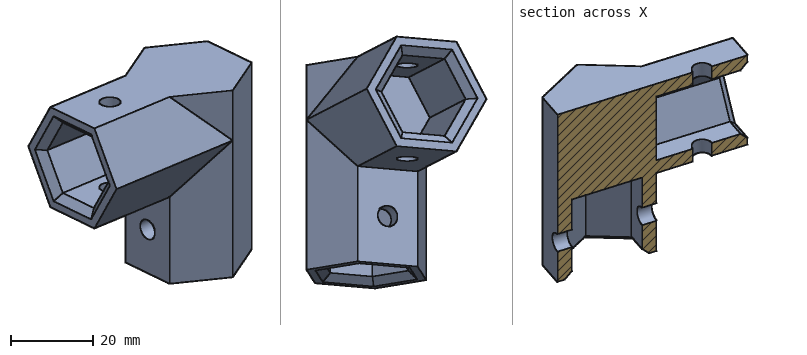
import cadquery as cq
import math

length_y = 52.3
length_z = 51.0
outer_corners = 31.55
socket_corners = 22.2
mouth_corners = 26.8
mouth_depth = 2.0
pin_diameter = 5.2
pin_from_axis_front = 26.15
pin_from_axis_down = 25.4

half_flats = outer_corners / 2 * math.cos(math.pi / 6)
front_reach = length_y - half_flats
down_reach = length_z - half_flats
socket_floor = half_flats

front_end = cq.Plane(origin=(0, -front_reach, 0), xDir=(1, 0, 0), normal=(0, -1, 0))
down_end = cq.Plane(origin=(0, 0, -down_reach), xDir=(1, 0, 0), normal=(0, 0, -1))


def leg(end_plane, length):
    """Solid hexagonal bar running inwards from its end face."""
    return cq.Workplane(end_plane).polygon(6, outer_corners).extrude(-length)


def socket(end_plane, reach):
    """Hexagonal socket with a tapered mouth."""
    bore = cq.Workplane(end_plane).polygon(6, socket_corners).extrude(-(reach - socket_floor))
    mouth = (
        cq.Workplane(end_plane)
        .polygon(6, mouth_corners)
        .workplane(offset=-mouth_depth)
        .polygon(6, socket_corners)
        .loft(ruled=True)
    )
    return bore.union(mouth)


body = leg(down_end, length_z).union(leg(front_end, front_reach))

front_pin = (
    cq.Workplane("XY")
    .center(0, -pin_from_axis_front)
    .circle(pin_diameter / 2)
    .extrude(outer_corners, both=True)
)
down_pin = (
    cq.Workplane("XZ")
    .center(0, -pin_from_axis_down)
    .circle(pin_diameter / 2)
    .extrude(outer_corners, both=True)
)

result = (
    body.cut(socket(front_end, front_reach))
    .cut(socket(down_end, down_reach))
    .cut(front_pin)
    .cut(down_pin)
)